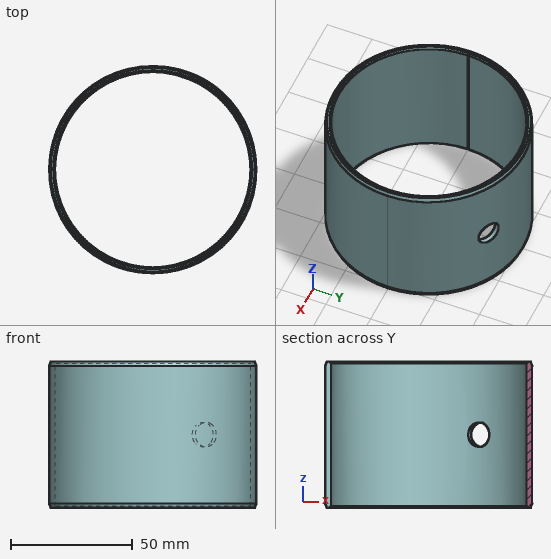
import cadquery as cq
import math

outer_diameter = 85.0
wall = 2.5
height = 60.0
outer_chamfer_height = 1.8
outer_chamfer_width = 0.7
inner_chamfer = 0.8
split_width = 0.6
hole_diameter = 10.0
hole_angle = 59.0

outer_radius = outer_diameter / 2
inner_radius = outer_radius - wall
half_height = height / 2


def bushing_shell():
    """Revolve the wall section, with both ends chamfered inside and outside."""
    outer_edge_z = half_height - outer_chamfer_height
    inner_edge_z = half_height - inner_chamfer
    end_outer_radius = outer_radius - outer_chamfer_width
    end_inner_radius = inner_radius + inner_chamfer
    section = [
        (inner_radius, -inner_edge_z),
        (end_inner_radius, -half_height),
        (end_outer_radius, -half_height),
        (outer_radius, -outer_edge_z),
        (outer_radius, outer_edge_z),
        (end_outer_radius, half_height),
        (end_inner_radius, half_height),
        (inner_radius, inner_edge_z),
    ]
    return cq.Workplane("XZ").polyline(section).close().revolve(360, (0, 0), (0, 1))


def split_cutter():
    """Full-height slit through the wall on the -X side, with one face on the XZ plane."""
    slit = cq.Workplane("XY").box(outer_diameter, split_width, height)
    return slit.translate((-outer_radius, split_width / 2, 0))


def oil_hole_cutter():
    """Radial hole through one side of the wall at mid-height."""
    angle = math.radians(hole_angle)
    direction = cq.Vector(math.cos(angle), math.sin(angle), 0)
    return cq.Workplane(
        cq.Solid.makeCylinder(hole_diameter / 2, outer_diameter, cq.Vector(0, 0, 0), direction)
    )


result = bushing_shell().cut(split_cutter()).cut(oil_hole_cutter())